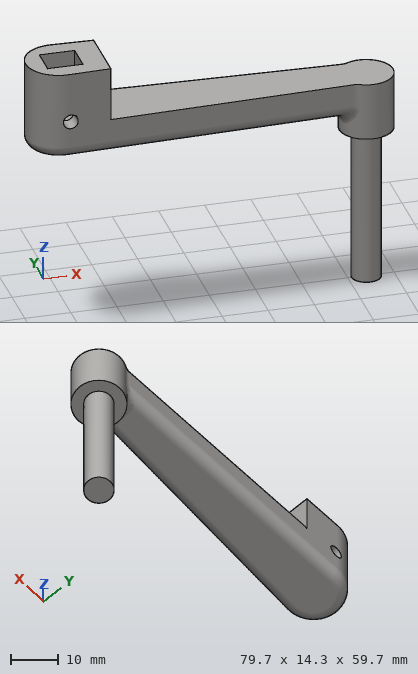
import cadquery as cq
import math

total_length = 79.65
total_height = 59.7
hub_diameter = 14.25
hub_end = 16.65
arm_top = -11.95
arm_bottom = -19.7
arm_end_width = 9.5
boss_diameter = 11.7
boss_height = 12.75
pin_diameter = 6.4
edge_radius = 2.5
socket_start = 3.9
socket_length = 7.65
socket_width = 6.5
socket_depth = 15.0
cross_hole_diameter = 3.2
cross_hole_x = 7.9
cross_hole_z = -11.15

hub_radius = hub_diameter / 2
boss_radius = boss_diameter / 2
hub_x = hub_radius
arm_end_half_width = arm_end_width / 2
boss_x = total_length - boss_radius
boss_bottom = arm_top - boss_height
pin_length = total_height + boss_bottom
selection_margin = 0.4


def make_arm():
    """Hub and tapered arm, with the sides tangent to the round hub end."""
    span = boss_x - hub_x
    reach = math.hypot(span, arm_end_half_width)
    tangent_angle = math.acos(hub_radius / reach) + math.atan2(arm_end_half_width, span)
    tangent_x = hub_x + hub_radius * math.cos(tangent_angle)
    tangent_y = hub_radius * math.sin(tangent_angle)
    outline = (
        cq.Workplane("XY", origin=(0, 0, arm_bottom))
        .moveTo(boss_x, -arm_end_half_width)
        .lineTo(tangent_x, -tangent_y)
        .threePointArc((0, 0), (tangent_x, tangent_y))
        .lineTo(boss_x, arm_end_half_width)
        .close()
    )
    blank = outline.extrude(-arm_bottom)
    clearance = (
        cq.Workplane("XY", origin=(0, 0, arm_top))
        .rect(total_length, 2 * total_length)
        .extrude(-arm_top)
        .translate((hub_end + total_length / 2, 0, 0))
    )
    arm = blank.cut(clearance)
    return arm.edges("<Z").edges("not(>X)").fillet(edge_radius)


def make_boss():
    return (
        cq.Workplane("XY", origin=(boss_x, 0, boss_bottom))
        .circle(boss_radius)
        .extrude(boss_height)
    )


def blend_boss(body):
    """Round the concave seam where the sides and underside of the arm meet the boss."""
    seam = cq.selectors.BoxSelector(
        (boss_x - boss_radius - selection_margin, -boss_radius, arm_bottom - selection_margin),
        (boss_x - selection_margin, boss_radius, arm_top - selection_margin),
    )
    return body.edges(seam).fillet(edge_radius)


def make_pin():
    return (
        cq.Workplane("XY", origin=(boss_x, 0, boss_bottom))
        .circle(pin_diameter / 2)
        .extrude(-pin_length)
    )


def make_socket():
    """Rectangular blind socket sunk from the hub top, deeper than the cross hole."""
    return (
        cq.Workplane("XY", origin=(socket_start + socket_length / 2, 0, 0))
        .rect(socket_length, socket_width)
        .extrude(-socket_depth)
    )


def make_cross_hole():
    return (
        cq.Workplane("XZ", origin=(cross_hole_x, 0, cross_hole_z))
        .circle(cross_hole_diameter / 2)
        .extrude(hub_radius, both=True)
    )


body = blend_boss(make_arm().union(make_boss()))
result = body.union(make_pin()).cut(make_socket()).cut(make_cross_hole())